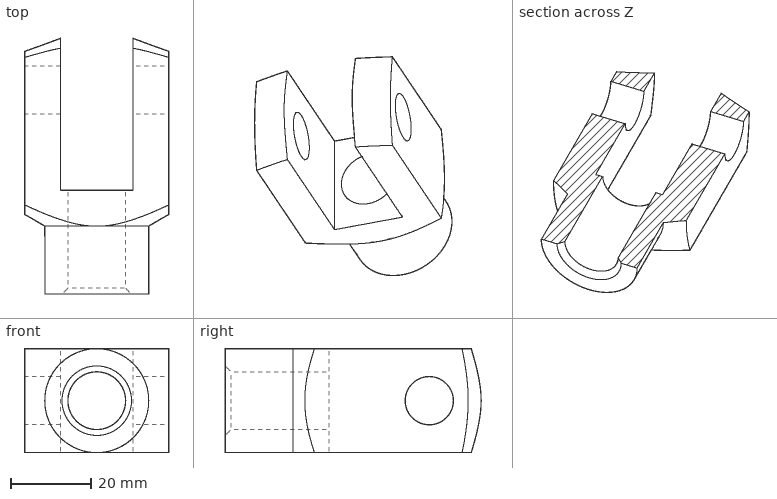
import cadquery as cq
import math

BODY_WIDTH = 36.0
BODY_HEIGHT = 26.0
TOTAL_LENGTH = 64.0

SHANK_DIAMETER = BODY_HEIGHT
SHANK_LENGTH = 17.0
SHOULDER_ANGLE = 30.0

SLOT_WIDTH = BODY_WIDTH / 2
SLOT_BOTTOM = 26.0
TIP_ANGLE = 20.0

PIN_HOLE_DIAMETER = 12.0
PIN_HOLE_POSITION = 51.0

BORE_DIAMETER = 14.38
BORE_CHAMFER = 1.5

CORNER_CLEARANCE = 1.0

shank_radius = SHANK_DIAMETER / 2
slot_half_width = SLOT_WIDTH / 2
corner_radius = math.hypot(BODY_WIDTH / 2, BODY_HEIGHT / 2)
turned_radius = corner_radius + CORNER_CLEARANCE


def rise(radial_distance, angle):
    """Axial height of a cone of the given slope over a radial distance."""
    return radial_distance * math.tan(math.radians(angle))


def make_bar():
    """Rectangular bar over the full length, from the shank end face at Y = 0."""
    return cq.Workplane("XY").box(
        BODY_WIDTH, TOTAL_LENGTH, BODY_HEIGHT, centered=(True, False, True)
    )


def make_turned_envelope():
    """Shank, conical shoulder and conical tips as one solid of revolution about Y."""
    shoulder_end = SHANK_LENGTH + rise(turned_radius - shank_radius, SHOULDER_ANGLE)
    tip_start = TOTAL_LENGTH - rise(turned_radius - slot_half_width, TIP_ANGLE)
    profile = (
        cq.Workplane("XY")
        .moveTo(0, 0)
        .lineTo(shank_radius, 0)
        .lineTo(shank_radius, SHANK_LENGTH)
        .lineTo(turned_radius, shoulder_end)
        .lineTo(turned_radius, tip_start)
        .lineTo(slot_half_width, TOTAL_LENGTH)
        .lineTo(0, TOTAL_LENGTH)
        .close()
    )
    return profile.revolve(360, (0, 0, 0), (0, 1, 0))


def make_slot():
    """Slot between the fork arms, open at the tips."""
    slot_depth = TOTAL_LENGTH - SLOT_BOTTOM
    return (
        cq.Workplane("XY")
        .box(SLOT_WIDTH, slot_depth, BODY_HEIGHT, centered=(True, False, True))
        .translate((0, SLOT_BOTTOM, 0))
    )


def make_bore():
    """Bore from the shank end face into the slot, with a chamfered mouth."""
    bore_radius = BORE_DIAMETER / 2
    profile = (
        cq.Workplane("XY")
        .moveTo(0, 0)
        .lineTo(bore_radius + BORE_CHAMFER, 0)
        .lineTo(bore_radius, BORE_CHAMFER)
        .lineTo(bore_radius, SLOT_BOTTOM)
        .lineTo(0, SLOT_BOTTOM)
        .close()
    )
    return profile.revolve(360, (0, 0, 0), (0, 1, 0))


def make_pin_hole():
    """Pin hole through both fork arms."""
    return (
        cq.Workplane("YZ")
        .center(PIN_HOLE_POSITION, 0)
        .circle(PIN_HOLE_DIAMETER / 2)
        .extrude(BODY_WIDTH / 2, both=True)
    )


fork = make_bar().intersect(make_turned_envelope())
result = fork.cut(make_slot()).cut(make_bore()).cut(make_pin_hole())